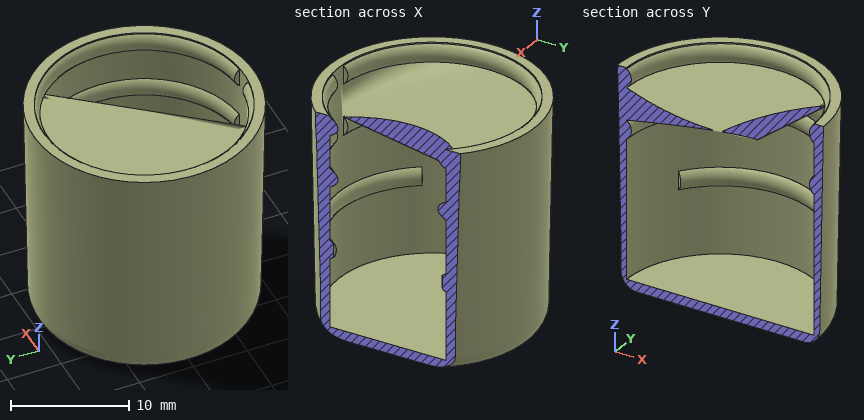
import cadquery as cq
import math

height = 21.4
rim_radius = 10.25
base_radius = 9.89
bottom_rounding = 1.58
bore_radius = 9.29
floor_thickness = 0.98

bead_protrusion = 0.47
bead_width = 1.8
bead_gap = 1.8
upper_bead_tops = (21.27, 16.3)
lower_bead_top = 9.35
lower_bead_arc = 108.0
lower_bead_centers = (90.0, 270.0)


def make_cup():
    """Drafted round cup with a rounded bottom edge and a plain bore."""
    rounding_middle = bottom_rounding * (1 - math.sqrt(0.5))
    outer_profile = (
        cq.Workplane("XZ")
        .lineTo(base_radius - bottom_rounding, 0)
        .threePointArc(
            (base_radius - rounding_middle, rounding_middle),
            (base_radius, bottom_rounding),
        )
        .lineTo(rim_radius, height)
        .lineTo(0, height)
        .close()
    )
    bore = (
        cq.Workplane("XY")
        .workplane(offset=floor_thickness)
        .circle(bore_radius)
        .extrude(height - floor_thickness)
    )
    return outer_profile.revolve(360, (0, 0, 0), (0, 1, 0)).cut(bore)


def make_bead(top, start_angle, arc):
    """Bead running counterclockwise from start_angle, backed into the wall."""
    bottom = top - bead_width
    backing_radius = (bore_radius + base_radius) / 2
    return (
        cq.Workplane("XZ")
        .moveTo(backing_radius, top)
        .lineTo(bore_radius, top)
        .threePointArc(
            (bore_radius - bead_protrusion, top - bead_width / 2),
            (bore_radius, bottom),
        )
        .lineTo(backing_radius, bottom)
        .close()
        .revolve(arc, (0, 0, 0), (0, 1, 0))
        .rotate((0, 0, 0), (0, 0, 1), start_angle)
    )


result = make_cup()

half_gap_angle = math.degrees(math.asin(bead_gap / 2 / bore_radius))
for bead_top in upper_bead_tops:
    result = result.union(make_bead(bead_top, half_gap_angle - 90, 360 - 2 * half_gap_angle))

for center_angle in lower_bead_centers:
    first_angle = center_angle - lower_bead_arc / 2
    result = result.union(make_bead(lower_bead_top, first_angle, lower_bead_arc))